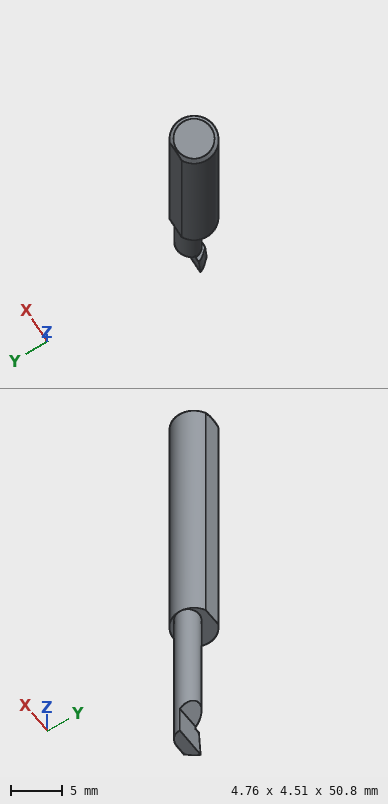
import cadquery as cq
import math


overall_length = 50.8
shank_diameter = 4.7625
shank_radius = shank_diameter / 2
flat_offset = 2.13
chamfer = 0.4

neck_length = 19.05
neck_radius = 1.335
neck_x = shank_radius - neck_radius

rake_bottom_z = 3.55
head_height = 3.2
side_relief_angle = 5.0
end_relief_x_angle = 2.0
end_relief_y_angle = 1.5

tip_x = -1.13
flank_middle = (-0.91, -0.48)
heel_start = (-0.55, -0.94)
heel_end = (-0.22, -neck_radius)
tooth_root_x = 0.4

margin = 5.0


def make_shank():
    shank = cq.Workplane("XY").workplane(offset=neck_length).circle(shank_radius)
    shank = shank.extrude(overall_length - neck_length)
    shank = shank.faces(">Z").chamfer(chamfer)
    flat_cutter = cq.Workplane("XY").box(
        2 * margin, margin, overall_length, centered=(True, False, False)
    )
    return shank.cut(flat_cutter.translate((0, flat_offset, 0)))


def make_neck():
    return cq.Workplane("XY").center(neck_x, 0).circle(neck_radius).extrude(neck_length)


def make_rake_cutter():
    """Half space Y > 0 below the 45 degree run-out."""
    outline = [
        (0, -margin),
        (0, rake_bottom_z),
        (margin, rake_bottom_z + margin),
        (margin, -margin),
    ]
    return cq.Workplane("YZ").polyline(outline).close().extrude(margin, both=True)


def make_tooth():
    """Leaning prism carrying the cutting edge."""
    outline = (
        cq.Workplane("XY")
        .moveTo(tip_x, 0)
        .threePointArc(flank_middle, heel_start)
        .lineTo(*heel_end)
        .lineTo(tooth_root_x, -neck_radius)
        .lineTo(tooth_root_x, 0)
        .close()
    )
    lean = head_height * math.tan(math.radians(side_relief_angle))
    direction = cq.Vector(lean, 0, head_height)
    prism = cq.Solid.extrudeLinear(outline.val(), [], direction)
    return cq.Workplane(prism)


def make_backing():
    """Upright block filling the corner between the tooth and the round of the neck."""
    backing = cq.Workplane("XY").box(
        neck_x - tooth_root_x, neck_radius, head_height, centered=False
    )
    return backing.translate((tooth_root_x, -neck_radius, 0))


def make_end_cutter():
    """Half space below the end face, which is lowest at the cutting tip."""
    rise_x = math.tan(math.radians(end_relief_x_angle))
    rise_y = math.tan(math.radians(end_relief_y_angle))
    normal = (-rise_x, rise_y, 1)
    end_plane = cq.Plane(origin=(tip_x, 0, 0), normal=normal)
    return cq.Workplane(end_plane).rect(4 * margin, 4 * margin).extrude(-margin)


blade = make_neck().cut(make_rake_cutter())
blade = blade.union(make_tooth()).union(make_backing())
blade = blade.cut(make_end_cutter()).clean()
result = make_shank().union(blade)